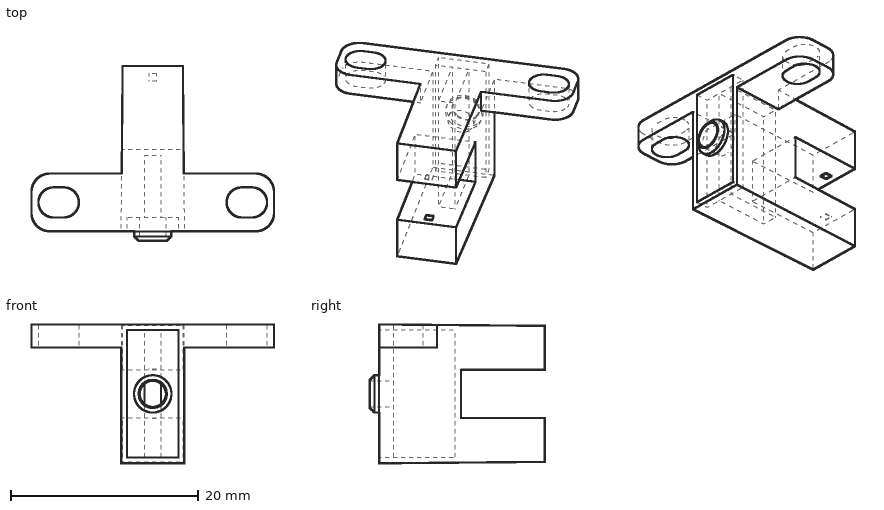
import cadquery as cq
import math

front_width = 6.77
front_height = 14.85
block_length = 17.68
draft_angle = 0.5
wall = 0.62

gap_height = 5.1
gap_depth = 8.95

flange_width = 25.93
flange_length = 6.2
flange_thickness = 2.5
flange_corner_radius = 2.0
slot_length = 4.3
slot_width = 3.2
slot_spacing = 20.1

window_width = 0.8
window_length = 0.8
window_depth = 0.08
window_rear_margin = 0.8

cover_thickness = 1.5
nipple_diameter = 4.0
nipple_length = 1.0
nipple_chamfer = 0.5
bore_diameter = 2.8

board_thickness = 1.82

cover_width = front_width - 2 * wall
cover_height = front_height - 2 * wall
board_depth = block_length - gap_depth - wall - cover_thickness
draft_run = block_length * math.tan(math.radians(draft_angle))
rear_width = front_width - 2 * draft_run
rear_height = front_height - 2 * draft_run


def box_behind(front_y, width, length, height):
    """Box centred on x and z that runs from front_y towards the rear."""
    return cq.Workplane("XY").box(width, length, height).translate((0, front_y + length / 2, 0))


def tapered_block(front_w, rear_w):
    """Block that narrows from the front face to the rear face by the draft."""
    return (
        cq.Workplane("XZ")
        .rect(front_w, front_height)
        .workplane(offset=-block_length)
        .rect(rear_w, rear_height)
        .loft(ruled=True, combine=True)
    )


def make_flange():
    """Rounded flange with slotted holes, its top trimmed to the draft of the block."""
    flange = (
        box_behind(0, flange_width, flange_length, flange_thickness)
        .edges("|Z")
        .fillet(flange_corner_radius)
        .faces(">Z")
        .workplane(origin=(0, flange_length / 2, 0))
        .pushPoints([(-slot_spacing / 2, 0), (slot_spacing / 2, 0)])
        .slot2D(slot_length, slot_width)
        .cutThruAll()
        .translate((0, 0, (front_height - flange_thickness) / 2))
    )
    return flange.intersect(tapered_block(flange_width, flange_width))


def make_windows():
    """Shallow recess volumes, one in each arm, facing each other across the gap."""
    window_front = block_length - window_rear_margin - window_length
    return box_behind(window_front, window_width, window_length, gap_height + 2 * window_depth)


def make_board():
    """Upright board whose front edge shows at the bottom of the cable bore."""
    return box_behind(cover_thickness, board_thickness, board_depth, cover_height)


def make_housing():
    """Forked block with flange, recessed for the cover and the board."""
    gap = box_behind(block_length - gap_depth, front_width, gap_depth, gap_height)
    cover_recess = box_behind(0, cover_width, cover_thickness, cover_height)
    return (
        tapered_block(front_width, rear_width)
        .union(make_flange())
        .cut(gap)
        .cut(make_windows())
        .cut(cover_recess)
        .cut(make_board())
    )


def make_cover():
    """Front cover with a chamfered nipple and a cable bore through both."""
    nipple = (
        cq.Workplane("XZ")
        .circle(nipple_diameter / 2)
        .extrude(nipple_length)
        .faces("<Y")
        .chamfer(nipple_chamfer)
    )
    bore = (
        cq.Workplane("XZ", origin=(0, cover_thickness, 0))
        .circle(bore_diameter / 2)
        .extrude(cover_thickness + nipple_length)
    )
    plate = box_behind(0, cover_width, cover_thickness, cover_height)
    return plate.union(nipple).cut(bore)


housing = make_housing()
cover = make_cover()
board = make_board()

result = cq.Compound.makeCompound([housing.val(), cover.val(), board.val()])